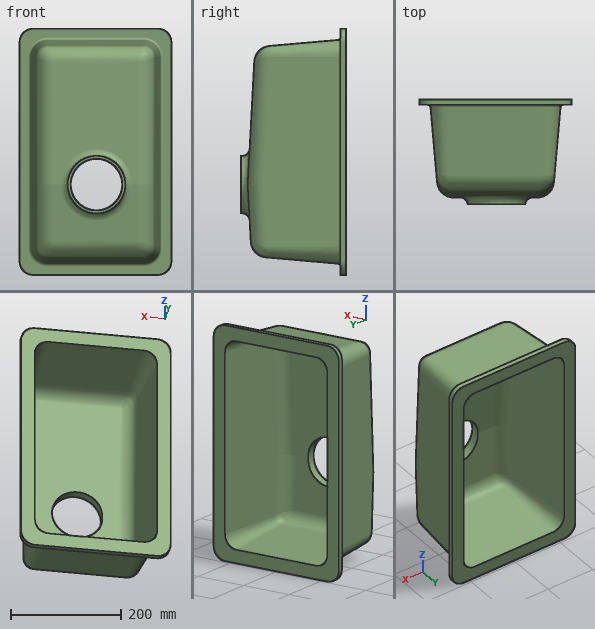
import cadquery as cq
import math

rim_width = 276.0
rim_height = 447.5
rim_thickness = 10.5
rim_corner_radius = 25.5

mouth_width = 237.3
mouth_height = 407.5
mouth_corner_radius = 31.5
wall_draft = 5.0
floor_slope = 3.0
floor_depth = 178.5
floor_edge_radius = 31.5
mouth_fillet_radius = 4.5
wall_thickness = 6.0

total_depth = 190.5
drain_x = 2.0
drain_z = -59.5
drain_outer_radius = 52.5
drain_flare_radius = 12.5
drain_base_radius = 69.5
drain_bore_radius = drain_outer_radius - wall_thickness

floor_normal_limit = 0.9
selection_margin = 2.2


def facing_down(depth):
    """Workplane facing -Y, set at a depth below the top of the rim."""
    plane = cq.Plane(origin=(0, -depth, 0), xDir=(1, 0, 0), normal=(0, -1, 0))
    return cq.Workplane(plane)


def round_floor_edge(body, radius):
    """Round the outer boundary of the floor, leaving the shallow valley line sharp."""
    floor_faces = [face for face in body.faces().vals() if face.normalAt().y < -floor_normal_limit]
    edges = [edge for face in floor_faces for edge in face.Edges()]
    boundary = [edge for edge in edges if sum(edge.isSame(other) for other in edges) == 1]
    return body.newObject(boundary).fillet(radius)


def mouth_outline(inset):
    """Rounded outline of the bowl mouth, moved inward to follow the drafted wall."""
    wall_inset = inset / math.cos(math.radians(wall_draft))
    width = mouth_width - 2 * wall_inset
    height = mouth_height - 2 * wall_inset
    return cq.Sketch().rect(width, height).vertices().fillet(mouth_corner_radius - wall_inset)


def upper_floor_envelope(inset):
    """Solid bounded below by the sloping floor plane above the drain, moved inward by the inset."""
    slope = math.tan(math.radians(floor_slope))
    valley_y = inset / math.cos(math.radians(floor_slope)) - floor_depth
    rise = slope * rim_height
    profile = [
        (0, drain_z - rim_height),
        (valley_y - rise, drain_z - rim_height),
        (valley_y + rise, drain_z + rim_height),
        (0, drain_z + rim_height),
    ]
    return cq.Workplane("YZ").polyline(profile).close().extrude(rim_width, both=True)


def bowl_volume(inset):
    """Drafted, round-edged bowl volume with its walls and floor moved inward by the inset."""
    body = facing_down(rim_thickness).placeSketch(mouth_outline(inset)).extrude(
        total_depth - rim_thickness, taper=wall_draft
    )

    upper_floor = upper_floor_envelope(inset)
    lower_floor = upper_floor.mirror("XY", (0, 0, drain_z))
    body = body.intersect(upper_floor.intersect(lower_floor))
    return round_floor_edge(body, floor_edge_radius - inset)


def drain_cylinder(radius, start_depth):
    """Cylinder on the drain axis, running from a depth to the drain tip."""
    disc = facing_down(start_depth).center(drain_x, drain_z).circle(radius)
    return disc.extrude(total_depth - start_depth)


def upper_drain_neck():
    """Half of the drain neck above the valley line, flared into the sloping floor plane."""
    base_start = floor_depth - 2 * wall_thickness
    base = drain_cylinder(drain_base_radius, base_start).intersect(upper_floor_envelope(0))
    neck = base.union(drain_cylinder(drain_outer_radius, base_start))
    sloping_face = next(face for face in neck.faces().vals() if face.innerWires())
    flared = neck.newObject(sloping_face.innerWires()[0].Edges()).fillet(drain_flare_radius)
    upper_half = cq.Workplane("XY", origin=(0, 0, drain_z)).rect(rim_height, rim_height).extrude(rim_height)
    return flared.intersect(upper_half)


rim = facing_down(0).rect(rim_width, rim_height).extrude(rim_thickness)
rim = rim.edges("|Y").fillet(rim_corner_radius)
bowl = rim.union(bowl_volume(0))
mouth_region = cq.selectors.BoxSelector(
    (-rim_width / 2 + selection_margin, -rim_thickness - selection_margin, -rim_height / 2 + selection_margin),
    (rim_width / 2 - selection_margin, -rim_thickness + selection_margin, rim_height / 2 - selection_margin),
    boundingbox=True,
)
bowl = bowl.edges(mouth_region).fillet(mouth_fillet_radius)

upper_neck = upper_drain_neck()
lower_neck = upper_neck.mirror("XY", (0, 0, drain_z))
bowl = bowl.union(upper_neck).union(lower_neck)

cavity = bowl_volume(wall_thickness)
opening = facing_down(0).placeSketch(mouth_outline(wall_thickness)).extrude(rim_thickness)
drain_bore = drain_cylinder(drain_bore_radius, rim_thickness)
result = bowl.cut(cavity).cut(opening).cut(drain_bore)